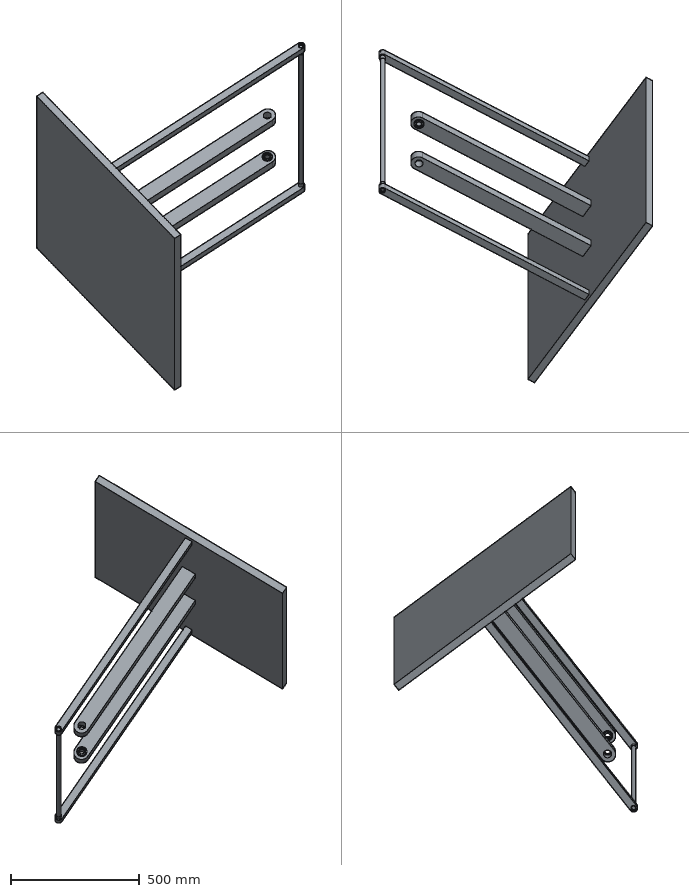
import cadquery as cq

PANEL_WIDTH = 865.0
PANEL_HEIGHT = 1015.0
PANEL_THICKNESS = 30.0

OUTER_ARM_REACH = 982.0
OUTER_ARM_WIDTH = 30.0
OUTER_ARM_HEIGHT = 30.0
OUTER_ARM_INSET = 25.0

ROD_DIAMETER = 18.0
COLLAR_DIAMETER = 20.0
COLLAR_LENGTH = 20.0
END_HOLE_DIAMETER = 15.0
END_HOLE_DEPTH = 10.0
COUNTERBORE_DEPTH = 5.0

INNER_ARM_REACH = 832.0
INNER_ARM_WIDTH = 60.0
INNER_ARM_HEIGHT = 40.0
INNER_ARM_GAP = 240.0
BUSHING_SEAT_DIAMETER = 30.0
BUSHING_INSET = 32.0
FLANGE_DIAMETER = 40.0
FLANGE_HEIGHT = 4.0
BUSHING_BORE = 20.0

OUTER_ARM_TOP = PANEL_HEIGHT / 2 - OUTER_ARM_INSET
OUTER_ARM_BOTTOM = OUTER_ARM_TOP - OUTER_ARM_HEIGHT
INNER_ARM_BOTTOM = INNER_ARM_GAP / 2
INNER_ARM_TOP = INNER_ARM_BOTTOM + INNER_ARM_HEIGHT
ROD_Y = OUTER_ARM_REACH - OUTER_ARM_WIDTH / 2
BUSHING_Y = INNER_ARM_REACH - BUSHING_INSET


def cylinder(diameter, y, bottom, top):
    """Upright cylinder on the plane X = 0."""
    return cq.Workplane("XY", origin=(0, y, bottom)).circle(diameter / 2).extrude(top - bottom)


def round_ended_arm(width, reach, bottom, top):
    """Bar running from the panel back face to a half-round end."""
    radius = width / 2
    return (
        cq.Workplane("XY", origin=(0, 0, bottom))
        .moveTo(-radius, PANEL_THICKNESS)
        .lineTo(-radius, reach - radius)
        .threePointArc((0, reach), (radius, reach - radius))
        .lineTo(radius, PANEL_THICKNESS)
        .close()
        .extrude(top - bottom)
    )


def outer_arm():
    """Upper outer arm with a stepped hole in its end and the collar below it."""
    arm = round_ended_arm(OUTER_ARM_WIDTH, OUTER_ARM_REACH, OUTER_ARM_BOTTOM, OUTER_ARM_TOP)
    end_hole = cylinder(END_HOLE_DIAMETER, ROD_Y, OUTER_ARM_TOP - END_HOLE_DEPTH, OUTER_ARM_TOP)
    counterbore = cylinder(COLLAR_DIAMETER, ROD_Y, OUTER_ARM_TOP - COUNTERBORE_DEPTH, OUTER_ARM_TOP)
    collar = cylinder(COLLAR_DIAMETER, ROD_Y, OUTER_ARM_BOTTOM - COLLAR_LENGTH, OUTER_ARM_BOTTOM)
    return arm.cut(end_hole).cut(counterbore).union(collar)


def inner_arm():
    """Upper inner arm, open at the top and bushed at the bottom."""
    arm = round_ended_arm(INNER_ARM_WIDTH, INNER_ARM_REACH, INNER_ARM_BOTTOM, INNER_ARM_TOP)
    seat = cylinder(BUSHING_SEAT_DIAMETER, BUSHING_Y, INNER_ARM_BOTTOM, INNER_ARM_TOP)
    flange_bottom = INNER_ARM_BOTTOM - FLANGE_HEIGHT
    flange = cylinder(FLANGE_DIAMETER, BUSHING_Y, flange_bottom, INNER_ARM_BOTTOM)
    bore = cylinder(BUSHING_BORE, BUSHING_Y, flange_bottom, INNER_ARM_BOTTOM)
    return arm.cut(seat).union(flange).cut(bore)


panel = cq.Workplane("XY").box(
    PANEL_WIDTH, PANEL_THICKNESS, PANEL_HEIGHT, centered=(True, False, True)
)
rod = cylinder(ROD_DIAMETER, ROD_Y, -OUTER_ARM_BOTTOM, OUTER_ARM_BOTTOM)

result = panel
for upper_arm in (outer_arm(), inner_arm()):
    result = result.union(upper_arm).union(upper_arm.mirror("XY"))
result = result.union(rod)